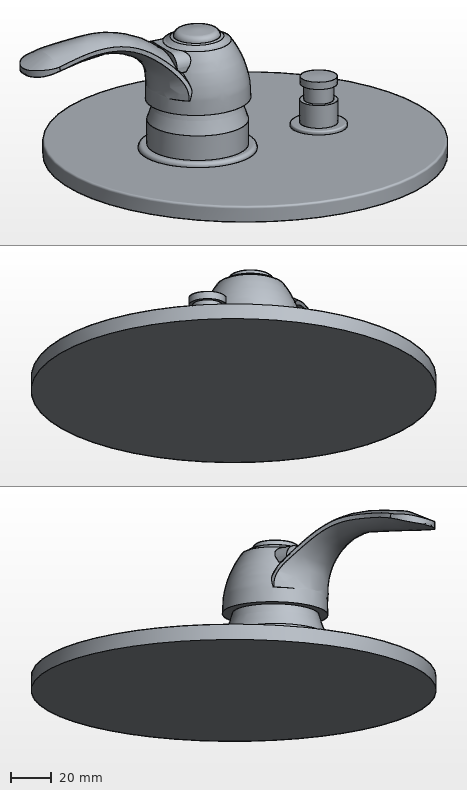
import cadquery as cq
import math

plate_diameter = 200.0
plate_thickness = 8.0
plate_edge_round = 1.1

knob_y = 41.4
knob_flange_radius = 14.2
knob_flange_height = 1.8
knob_flange_round = 1.0
knob_barrel_radius = 9.5
knob_barrel_top = 21.8
knob_neck_radius = 7.5
knob_neck_top = 30.1
knob_head_radius = 9.2
knob_head_top = 34.0
knob_crown_rise = 0.5

base_y = -26.8
base_flange_radius = 29.5
base_flange_height = 2.2
base_flange_round = 2.0
base_radius = 25.2
base_cylinder_top = 23.2
base_ridge_radius = 22.7
base_ridge_z = 30.0
base_top_radius = 21.0
base_top_z = 36

handle_y = -26.5
handle_tilt = 1.1
dome_bottom_z = 34.5
dome_rim_radius = 26.0
dome_mid_radius = 23.8
dome_mid_z = 50.8
dome_top_radius = 16.9
dome_top_z = 64.5
cap_foot_radius = 15.5
cap_foot_z = 65.0
cap_step_radius = 13.3
cap_step_z = 66.5
cap_button_radius = 11.7
cap_button_z = 67.0
cap_round_radius = 10.8
cap_round_z = 69.0
cap_face_radius = 9
cap_face_z = 70.0
cap_apex_z = 70.8

saddle_front_y = -46.5
saddle_flat_half_width = 9
saddle_shoulder_half_width = 14.0
saddle_shoulder_drop = 2.0
saddle_half_width = 16.0
saddle_side_drop = 6.3
saddle_depth = 9

lever_edge_half_thickness = 1.1
lever_stations = [
    (-41.5, 41.8, 90, 20.5, 5.6, 10.5),
    (-47.7, 57.0, 58, 16.2, 5.8, 7.5),
    (-55.8, 64.0, 38, 13.0, 5.5, 5.5),
    (-69.0, 71.0, 17, 11.2, 4.5, 5.0),
    (-85.7, 73.0, 0, 10.5, 4.7, 5.0),
    (-99.5, 71.7, -8, 12.0, 4.5, 5.5),
    (-110.9, 69.5, -15, 13.3, 4.7, 4.3),
]
tip_station = (-124.4, 66.5, -15, 13.3, 1.5, 1.3)
tip_cutter_height = 90


def standing_profile(start_z):
    """Start a half profile on an axis, at height start_z, for revolving about Z."""
    return cq.Workplane("XZ").moveTo(0, start_z)


def revolve_at(profile, y):
    """Close a half profile and revolve it about the vertical axis at the given y."""
    return profile.close().revolve(360, (0, 0, 0), (0, 1, 0)).translate((0, y, 0))


def flange(radius, height, edge_round, y):
    """Round-edged disc lying on the plate."""
    disc = cq.Workplane("XY").workplane(offset=plate_thickness).center(0, y).circle(radius).extrude(height)
    return disc.faces(">Z").edges().fillet(edge_round)


def make_plate():
    disc = cq.Workplane("XY").circle(plate_diameter / 2).extrude(plate_thickness)
    return disc.faces(">Z").edges().fillet(plate_edge_round)


def make_knob():
    profile = (
        standing_profile(plate_thickness)
        .lineTo(knob_barrel_radius, plate_thickness)
        .lineTo(knob_barrel_radius, knob_barrel_top)
        .lineTo(knob_neck_radius, knob_barrel_top)
        .lineTo(knob_neck_radius, knob_neck_top)
        .lineTo(knob_head_radius, knob_neck_top)
        .lineTo(knob_head_radius, knob_head_top)
        .lineTo(0, knob_head_top + knob_crown_rise)
    )
    knob_flange = flange(knob_flange_radius, knob_flange_height, knob_flange_round, knob_y)
    return revolve_at(profile, knob_y).union(knob_flange)


def make_base():
    profile = (
        standing_profile(plate_thickness)
        .lineTo(base_radius, plate_thickness)
        .lineTo(base_radius, base_cylinder_top)
        .lineTo(base_ridge_radius, base_ridge_z)
        .lineTo(base_top_radius, base_top_z)
        .lineTo(0, base_top_z)
    )
    base_flange = flange(base_flange_radius, base_flange_height, base_flange_round, base_y)
    return revolve_at(profile, base_y).union(base_flange)


def make_dome():
    profile = (
        standing_profile(dome_bottom_z)
        .lineTo(dome_rim_radius, dome_bottom_z)
        .threePointArc((dome_mid_radius, dome_mid_z), (dome_top_radius, dome_top_z))
        .lineTo(cap_foot_radius, cap_foot_z)
        .lineTo(cap_step_radius, cap_step_z)
        .lineTo(cap_button_radius, cap_button_z)
        .threePointArc((cap_round_radius, cap_round_z), (cap_face_radius, cap_face_z))
        .lineTo(0, cap_apex_z)
    )
    return revolve_at(profile, handle_y)


def make_saddle():
    """Flat-topped bridge with rounded shoulders, running from the dome axis to the lever root."""
    shoulder_z = dome_top_z - saddle_shoulder_drop
    side_z = dome_top_z - saddle_side_drop
    bottom_z = dome_top_z - saddle_depth
    section = (
        cq.Workplane("XZ", origin=(0, handle_y, 0))
        .moveTo(-saddle_half_width, bottom_z)
        .lineTo(-saddle_half_width, side_z)
        .threePointArc((-saddle_shoulder_half_width, shoulder_z), (-saddle_flat_half_width, dome_top_z))
        .lineTo(saddle_flat_half_width, dome_top_z)
        .threePointArc((saddle_shoulder_half_width, shoulder_z), (saddle_half_width, side_z))
        .lineTo(saddle_half_width, bottom_z)
    )
    return section.close().extrude(handle_y - saddle_front_y)


def lever_section(y, z, climb, half_width, crown, belly):
    """Closed lens outline, square to the lever's run, with short straight side edges."""
    climb = math.radians(climb)
    plane = cq.Plane((0, y, z), (1, 0, 0), (0, -math.cos(climb), math.sin(climb)))
    edge = lever_edge_half_thickness
    outline = (
        cq.Workplane(plane)
        .moveTo(-half_width, -edge)
        .lineTo(-half_width, edge)
        .threePointArc((0, crown), (half_width, edge))
        .lineTo(half_width, -edge)
        .threePointArc((0, -belly), (-half_width, -edge))
    )
    return outline.close().val()


def make_lever():
    arm = cq.Solid.makeLoft([lever_section(*station) for station in lever_stations])
    arm_end = lever_stations[-1]
    tip = cq.Solid.makeLoft([lever_section(*arm_end), lever_section(*tip_station)], ruled=True)
    tip_y, _, _, tip_radius, _, _ = tip_station
    rounding = cq.Workplane("XY").center(0, tip_y + tip_radius).circle(tip_radius).extrude(tip_cutter_height)
    return cq.Workplane(arm).union(cq.Workplane(tip).intersect(rounding))


def make_handle():
    """Dome, saddle and lever in one piece, tipped slightly forward about the dome bottom."""
    handle = make_dome().union(make_saddle()).union(make_lever())
    pivot = cq.Vector(0, handle_y, dome_bottom_z)
    return handle.rotate(pivot, pivot + cq.Vector(2.2, 0, 0), handle_tilt)


handle = make_handle()
fixed_body = make_plate().union(make_knob()).union(make_base()).cut(handle)

result = cq.Compound.makeCompound([fixed_body.val(), handle.val()])